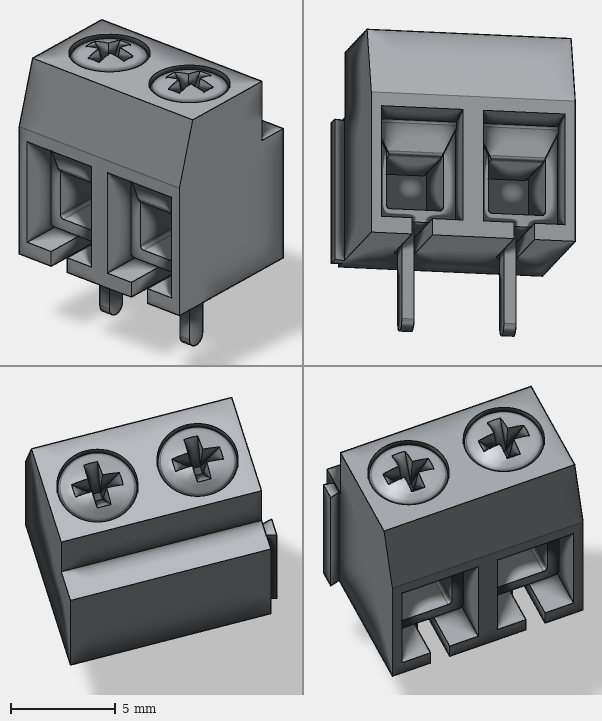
import cadquery as cq
import math


PITCH = 5.0
POLE_COUNT = 2
CLAMP_Y = -0.13
POLE_XS = [(i - (POLE_COUNT - 1) / 2) * PITCH for i in range(POLE_COUNT)]

BODY_LENGTH = POLE_COUNT * PITCH
BODY_DEPTH = 7.8
BODY_HEIGHT = 10.2
FRONT_Y = -BODY_DEPTH / 2
BACK_Y = BODY_DEPTH / 2
FRONT_SLOPE_BASE_Z = 6.9
FRONT_SLOPE_SETBACK = 1.0
BACK_STEP_Z = 7.0
BACK_STEP_DEPTH = 1.6

RIB_PROJECTION = 0.5
RIB_HEIGHT = 6.9
RIB_ROOT_WIDTH = 0.62
RIB_TIP_WIDTH = 0.88
RIB_Y = 2.76

CAGE_SIZE = 4.0
CAGE_WALL = 0.6
CAGE_BOTTOM_Z = 1.0
CAGE_TOP_Z = 5.8
CAGE_TOP_BAR = 1.4
CAGE_CORNER_RADIUS = 0.2
CAGE_FRONT_Y = CLAMP_Y - CAGE_SIZE / 2
CAGE_BACK_Y = CLAMP_Y + CAGE_SIZE / 2
CAGE_BAR_Z = CAGE_TOP_Z - CAGE_TOP_BAR
PIN_THICKNESS = 0.6
PIN_WIDTH = 1.0
PIN_TIP_Z = -3.9

GUARD_SHEET = 0.2
GUARD_TOP_WIDTH = CAGE_SIZE
GUARD_TONGUE_WIDTH = 2.56
GUARD_SHOULDER_Z = 5.65
GUARD_TOP_Z = CAGE_TOP_Z + GUARD_SHEET
GUARD_BOTTOM_Z = CAGE_BAR_Z - GUARD_SHEET
GUARD_FRONT_Y = CAGE_FRONT_Y - GUARD_SHEET

CHAMBER_FLOOR_Z = 0.8
CHAMBER_CEILING_Z = GUARD_TOP_Z
CHAMBER_MOUTH_Z = 6.24
PIN_SLOT_WIDTH = 1.0
PIN_CLEARANCE = (PIN_SLOT_WIDTH - PIN_THICKNESS) / 2
PIN_SLOT_END_Y = PIN_WIDTH / 2 + PIN_CLEARANCE

SCREW_TOP_Z = 10.5
HEAD_RADIUS = 1.9
HEAD_SEAT_Z = 8.0
DOME_RADIUS = 3.8
RIM_FILLET = 0.2
SHANK_RADIUS = 1.25
HEAD_HOLE_RADIUS = 1.95
RECESS_LENGTH = 2.7
RECESS_WIDTH = 0.72
RECESS_FLOOR_SIZE = 0.4
RECESS_DEPTH = 1.5


def make_block():
    """Housing outline with its sloped front and stepped back, plus the dovetail rib."""
    block = (
        cq.Workplane("YZ", origin=(-BODY_LENGTH / 2, 0, 0))
        .moveTo(FRONT_Y, 0)
        .lineTo(BACK_Y, 0)
        .lineTo(BACK_Y, BACK_STEP_Z)
        .lineTo(BACK_Y - BACK_STEP_DEPTH, BACK_STEP_Z)
        .lineTo(BACK_Y - BACK_STEP_DEPTH, BODY_HEIGHT)
        .lineTo(FRONT_Y + FRONT_SLOPE_SETBACK, BODY_HEIGHT)
        .lineTo(FRONT_Y, FRONT_SLOPE_BASE_Z)
        .close()
        .extrude(BODY_LENGTH)
    )
    rib = (
        cq.Workplane("XY", origin=(-BODY_LENGTH / 2, RIB_Y, 0))
        .moveTo(0, -RIB_ROOT_WIDTH / 2)
        .lineTo(0, RIB_ROOT_WIDTH / 2)
        .lineTo(-RIB_PROJECTION, RIB_TIP_WIDTH / 2)
        .lineTo(-RIB_PROJECTION, -RIB_TIP_WIDTH / 2)
        .close()
        .extrude(RIB_HEIGHT)
    )
    return block.union(rib)


def make_chamber(x):
    """Space taken out of the housing for one terminal."""
    wire_space = (
        cq.Workplane("YZ", origin=(x - CAGE_SIZE / 2, 0, 0))
        .moveTo(FRONT_Y, CHAMBER_FLOOR_Z)
        .lineTo(CAGE_BACK_Y, CHAMBER_FLOOR_Z)
        .lineTo(CAGE_BACK_Y, CHAMBER_CEILING_Z)
        .lineTo(GUARD_FRONT_Y, CHAMBER_CEILING_Z)
        .lineTo(FRONT_Y, CHAMBER_MOUTH_Z)
        .close()
        .extrude(CAGE_SIZE)
    )
    slot_radius = PIN_SLOT_WIDTH / 2
    slot_straight_end = PIN_SLOT_END_Y - slot_radius
    pin_slot = (
        cq.Workplane("XY", origin=(x, 0, 0))
        .moveTo(-slot_radius, FRONT_Y)
        .lineTo(-slot_radius, slot_straight_end)
        .threePointArc((0, PIN_SLOT_END_Y), (slot_radius, slot_straight_end))
        .lineTo(slot_radius, FRONT_Y)
        .close()
        .extrude(CHAMBER_FLOOR_Z)
    )
    head_hole = (
        cq.Workplane("XY", origin=(x, CLAMP_Y, HEAD_SEAT_Z))
        .circle(HEAD_HOLE_RADIUS)
        .extrude(BODY_HEIGHT - HEAD_SEAT_Z)
    )
    shank_hole = (
        cq.Workplane("XY", origin=(x, CLAMP_Y, CHAMBER_CEILING_Z))
        .circle(SHANK_RADIUS)
        .extrude(HEAD_SEAT_Z - CHAMBER_CEILING_Z)
    )
    return wire_space.union(pin_slot).union(head_hole).union(shank_hole)


def make_cage(x):
    """Square clamp cage, open front and back, with the solder pin under its floor."""
    cage_height = CAGE_TOP_Z - CAGE_BOTTOM_Z
    cage = (
        cq.Workplane("XY", origin=(x, CLAMP_Y, CAGE_BOTTOM_Z))
        .box(CAGE_SIZE, CAGE_SIZE, cage_height, centered=(True, True, False))
        .edges("|Y and <Z")
        .fillet(CAGE_CORNER_RADIUS)
    )
    opening_floor_z = CAGE_BOTTOM_Z + CAGE_WALL
    opening = (
        cq.Workplane("XY", origin=(x, CLAMP_Y, opening_floor_z))
        .box(
            CAGE_SIZE - 2 * CAGE_WALL,
            CAGE_SIZE,
            CAGE_BAR_Z - opening_floor_z,
            centered=(True, True, False),
        )
        .edges("|Y and <Z")
        .fillet(CAGE_CORNER_RADIUS)
    )
    screw_hole = (
        cq.Workplane("XY", origin=(x, CLAMP_Y, CAGE_BAR_Z))
        .circle(SHANK_RADIUS)
        .extrude(CAGE_TOP_BAR)
    )
    tip_radius = PIN_WIDTH / 2
    pin = (
        cq.Workplane("YZ", origin=(x - PIN_THICKNESS / 2, 0, 0))
        .moveTo(-tip_radius, CAGE_BOTTOM_Z)
        .lineTo(-tip_radius, PIN_TIP_Z + tip_radius)
        .threePointArc((0, PIN_TIP_Z), (tip_radius, PIN_TIP_Z + tip_radius))
        .lineTo(tip_radius, CAGE_BOTTOM_Z)
        .close()
        .extrude(PIN_THICKNESS)
    )
    return cage.cut(opening).cut(screw_hole).union(pin)


def make_guard(x):
    """Sheet wire guard: plate over the top bar, tapered front, tongue under the screw."""
    guard_height = GUARD_TOP_Z - GUARD_BOTTOM_Z
    guard_depth = CAGE_BACK_Y - GUARD_FRONT_Y
    wrap = (
        cq.Workplane("XY", origin=(x, GUARD_FRONT_Y + guard_depth / 2, GUARD_BOTTOM_Z))
        .box(GUARD_TOP_WIDTH, guard_depth, guard_height, centered=(True, True, False))
        .edges("|X and <Y")
        .fillet(GUARD_SHEET)
    )
    bar_space = cq.Workplane("XY", origin=(x, CLAMP_Y, CAGE_BAR_Z)).box(
        CAGE_SIZE, CAGE_SIZE, CAGE_TOP_BAR, centered=(True, True, False)
    )
    front_outline = (
        cq.Workplane("XZ", origin=(x, CAGE_BACK_Y, 0))
        .moveTo(-GUARD_TONGUE_WIDTH / 2, GUARD_BOTTOM_Z)
        .lineTo(GUARD_TONGUE_WIDTH / 2, GUARD_BOTTOM_Z)
        .lineTo(GUARD_TOP_WIDTH / 2, GUARD_SHOULDER_Z)
        .lineTo(GUARD_TOP_WIDTH / 2, GUARD_TOP_Z)
        .lineTo(-GUARD_TOP_WIDTH / 2, GUARD_TOP_Z)
        .lineTo(-GUARD_TOP_WIDTH / 2, GUARD_SHOULDER_Z)
        .close()
        .extrude(guard_depth)
    )
    screw_hole = (
        cq.Workplane("XY", origin=(x, CLAMP_Y, CAGE_TOP_Z))
        .circle(SHANK_RADIUS)
        .extrude(GUARD_SHEET)
    )
    return wrap.cut(bar_space).intersect(front_outline).cut(screw_hole)


def make_recess_arm(length_x, length_y):
    """One tapered bar of the cross recess, narrowing down to its square floor."""
    return (
        cq.Workplane("XY", origin=(0, 0, SCREW_TOP_Z))
        .rect(length_x, length_y)
        .workplane(offset=-RECESS_DEPTH)
        .rect(RECESS_FLOOR_SIZE, RECESS_FLOOR_SIZE)
        .loft(ruled=True)
    )


def make_screw(x):
    """Domed clamp screw with a cross recess, its tip resting on the guard's tongue."""
    def dome_z(radius):
        return SCREW_TOP_Z - DOME_RADIUS + math.sqrt(DOME_RADIUS**2 - radius**2)

    screw = (
        cq.Workplane("XZ")
        .moveTo(0, CAGE_BAR_Z)
        .lineTo(SHANK_RADIUS, CAGE_BAR_Z)
        .lineTo(SHANK_RADIUS, HEAD_SEAT_Z)
        .lineTo(HEAD_RADIUS, HEAD_SEAT_Z)
        .lineTo(HEAD_RADIUS, dome_z(HEAD_RADIUS))
        .threePointArc((HEAD_RADIUS / 2, dome_z(HEAD_RADIUS / 2)), (0, SCREW_TOP_Z))
        .close()
        .revolve(360, (0, 0, 0), (0, 1, 0))
        .edges(cq.selectors.NearestToPointSelector((0, 0, dome_z(HEAD_RADIUS))))
        .fillet(RIM_FILLET)
        .cut(make_recess_arm(RECESS_LENGTH, RECESS_WIDTH))
        .cut(make_recess_arm(RECESS_WIDTH, RECESS_LENGTH))
    )
    return screw.translate((x, CLAMP_Y, 0))


housing = make_block()
for pole_x in POLE_XS:
    housing = housing.cut(make_chamber(pole_x))

cages = [make_cage(pole_x) for pole_x in POLE_XS]
guards = [make_guard(pole_x) for pole_x in POLE_XS]
screws = [make_screw(pole_x) for pole_x in POLE_XS]

result = cq.Compound.makeCompound(
    [housing.val()] + [body.val() for body in cages + guards + screws]
)